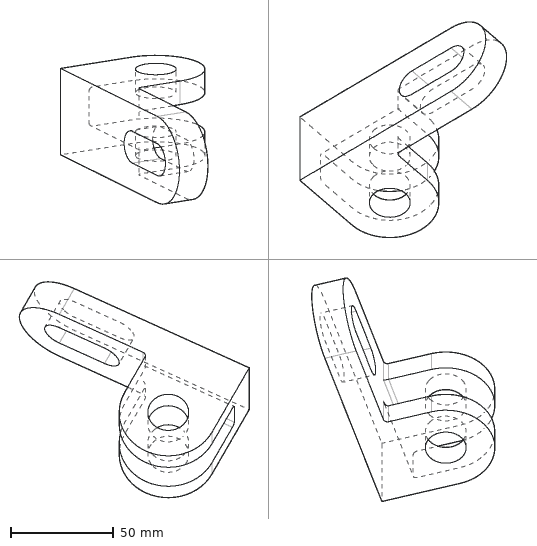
import cadquery as cq

length = 118.0
depth = 64.0
height = 44.0

plate_thickness = 16.0
plate_end_radius = height / 2
slot_width = 16.2
slot_center_spacing = 24.8

fork_width = 48.0
pin_hole_diameter = 20.0
fork_gap = 20.0
corner_radius = 2.0

lug_radius = fork_width / 2
pin_x = lug_radius
pin_y = depth - lug_radius
end_center_x = length - plate_end_radius
mid_z = height / 2


def make_plate():
    """Upright plate on the XZ plane, rounded at its +X end."""
    return (
        cq.Workplane("XZ")
        .lineTo(end_center_x, 0)
        .threePointArc((length, mid_z), (end_center_x, height))
        .lineTo(0, height)
        .close()
        .extrude(-plate_thickness)
    )


def make_fork_block():
    """Full-height block that ends in a half round around the pin axis."""
    return (
        cq.Workplane("XY")
        .lineTo(fork_width, 0)
        .lineTo(fork_width, pin_y)
        .threePointArc((pin_x, depth), (0, pin_y))
        .close()
        .extrude(height)
    )


def make_fork_gap():
    """Space between the lugs, rounded at the plate and cut on through the inner corner fillet."""
    gap_depth = depth - plate_thickness
    gap_length = fork_width + corner_radius
    return (
        cq.Workplane("XY")
        .box(gap_length, gap_depth, fork_gap, centered=(False, False, True))
        .edges("|X and <Y")
        .fillet(corner_radius)
        .translate((0, plate_thickness, mid_z))
    )


def make_pin_hole():
    return cq.Workplane("XY").center(pin_x, pin_y).circle(pin_hole_diameter / 2).extrude(height)


def make_slot():
    """Through slot whose outer round is concentric with the plate end."""
    return (
        cq.Workplane("XZ")
        .center(end_center_x - slot_center_spacing / 2, mid_z)
        .slot2D(slot_center_spacing + slot_width, slot_width)
        .extrude(-plate_thickness)
    )


inner_corner = cq.selectors.NearestToPointSelector((fork_width, plate_thickness, mid_z))
body = make_plate().union(make_fork_block())
body = body.edges("|Z").edges(inner_corner).fillet(corner_radius)

result = body.cut(make_fork_gap()).cut(make_pin_hole()).cut(make_slot())